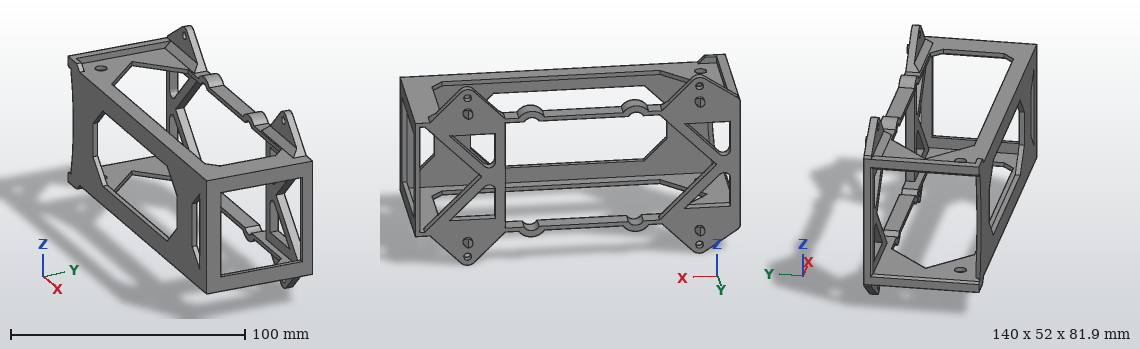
import cadquery as cq
import math

LENGTH = 140.0
DEPTH = 50.0
BOX_HEIGHT = 52.8
BOX_HALF_HEIGHT = BOX_HEIGHT / 2
FRONT_WALL = 2.2
BACK_WALL = 3.9
END_WALL = 2.0
CAVITY_HALF_HEIGHT = 24.5
BACK_INNER = DEPTH - BACK_WALL

RIM_HALF_HEIGHT = 29.3
RIM_RISE = RIM_HALF_HEIGHT - BOX_HALF_HEIGHT
RIM_LENGTH = 3.9
RIM_FRONT_LENGTH = 9.0
ENTRANCE_CHAMFER = 1.0
SCOOP_EDGE = 3.0
SCOOP_MIDDLE = 5.5
SCOOP_BEVEL = FRONT_WALL

LUG_THICKNESS = 3.2
LUG_FRONT = DEPTH - LUG_THICKNESS
LUG_HOLE_Z = 37.0
LUG_SPAN = 81.9
LUG_TIP_RADIUS = LUG_SPAN / 2 - LUG_HOLE_Z
LUG_HOLE_DIAMETER = 3.2
LUG_CENTERS = (17.5, 117.5)
LUG_CORNER = (0.8, 30.5)
PEG_DIAMETER = 4.0
PEG_HEIGHT = 2.0
PEG_Z = 30.0

BRACKET_STARTS = (0.0, 101.2)
BRACKET_POST = 4.2
BRACKET_BAR = 6.0
BRACKET_HOLE_HALF_HEIGHT = 19.7
BRACKET_HOLE_RADIUS = 2.8

FRONT_WINDOW_X = (25.3, 109.9)
FRONT_WINDOW_HALF_HEIGHT = 17.5
FRONT_WINDOW_CORNER = 9.8
SLOT_X = (125.5, 132.9)
SLOT_SHORT_HALF_HEIGHT = 10.0
SIDE_WINDOW_X = (11.0, 127.8)
SIDE_WINDOW_Y = (7.1, 43.1)
SIDE_WINDOW_CORNER = 4.9
SIDE_HOLE_DIAMETER = 5.0
SIDE_HOLE_CENTER = (11.9, 10.1)
END_WINDOW_Y = (6.7, 45.1)
END_WINDOW_HALF_HEIGHT = 19.6

ARCH_CENTERS = (45.0, 89.9)
ARCH_RADIUS = 6.7
ARCH_THICKNESS = 3.0
ARCH_Z = RIM_HALF_HEIGHT - ARCH_RADIUS


def block(x_range, y_range, half_height):
    """Box spanning the given X and Y ranges, centred on Z = 0."""
    length = x_range[1] - x_range[0]
    depth = y_range[1] - y_range[0]
    corner = (x_range[0], y_range[0], -half_height)
    return cq.Workplane("XY").box(length, depth, 2 * half_height, centered=False).translate(corner)


def facing(y):
    """XZ sketch plane at the given Y; negative extrusions run toward +Y."""
    return cq.Workplane("XZ", origin=(0, y, 0))


def both_sides(shape):
    """A shape together with its mirror image below Z = 0."""
    return shape.union(shape.mirror("XY"))


def make_rim():
    rim = block((0, RIM_LENGTH), (0, DEPTH), RIM_HALF_HEIGHT)
    front_end = RIM_FRONT_LENGTH + RIM_RISE
    front_strip = (
        facing(0)
        .polyline([
            (0, 0),
            (0, RIM_HALF_HEIGHT),
            (RIM_FRONT_LENGTH, RIM_HALF_HEIGHT),
            (front_end, BOX_HALF_HEIGHT),
            (front_end, 0),
        ])
        .close()
        .extrude(-FRONT_WALL)
    )
    return rim.union(both_sides(front_strip))


def make_lug(x, reaches_rim):
    """Rounded lug with 45 degree flanks; one kind leans down to the rim corner instead."""
    flank = LUG_TIP_RADIUS * math.sqrt(0.5)
    half_base = LUG_HOLE_Z - CAVITY_HALF_HEIGHT + LUG_TIP_RADIUS * math.sqrt(2)
    left_tangent = (x - flank, LUG_HOLE_Z + flank)
    left_base = [(x - half_base, CAVITY_HALF_HEIGHT)]
    if reaches_rim:
        run = x - LUG_CORNER[0]
        rise = LUG_HOLE_Z - LUG_CORNER[1]
        angle = math.atan2(rise, run) + math.asin(LUG_TIP_RADIUS / math.hypot(run, rise))
        left_tangent = (x - LUG_TIP_RADIUS * math.sin(angle), LUG_HOLE_Z + LUG_TIP_RADIUS * math.cos(angle))
        left_base = [(0, CAVITY_HALF_HEIGHT), (0, RIM_HALF_HEIGHT), LUG_CORNER]
    outline = (
        facing(LUG_FRONT)
        .polyline(left_base + [left_tangent])
        .threePointArc((x, LUG_HOLE_Z + LUG_TIP_RADIUS), (x + flank, LUG_HOLE_Z + flank))
        .lineTo(x + half_base, CAVITY_HALF_HEIGHT)
        .close()
        .extrude(-LUG_THICKNESS)
    )
    hole = facing(LUG_FRONT).center(x, LUG_HOLE_Z).circle(LUG_HOLE_DIAMETER / 2).extrude(-LUG_THICKNESS)
    return outline.cut(hole)


def make_gusset(x, reaches_rim):
    """Sloping wedge that backs a lug, with 45 degree ends matching its flanks."""
    half_base = LUG_HOLE_Z - BOX_HALF_HEIGHT + LUG_TIP_RADIUS * math.sqrt(2)
    start = 0 if reaches_rim else x - half_base
    end = x + half_base
    wedge = (
        cq.Workplane("YZ", origin=(start, 0, 0))
        .polyline([
            (LUG_FRONT - RIM_RISE, BOX_HALF_HEIGHT),
            (LUG_FRONT, RIM_HALF_HEIGHT),
            (LUG_FRONT, BOX_HALF_HEIGHT),
        ])
        .close()
        .extrude(end - start)
    )
    top_start = start if reaches_rim else start + RIM_RISE
    flank_limit = (
        facing(0)
        .polyline([
            (start, BOX_HALF_HEIGHT),
            (top_start, RIM_HALF_HEIGHT),
            (end - RIM_RISE, RIM_HALF_HEIGHT),
            (end, BOX_HALF_HEIGHT),
        ])
        .close()
        .extrude(-DEPTH)
    )
    return wedge.intersect(flank_limit)


def make_peg(x):
    """Locating peg on the back of a lug, sloped off on its +X half."""
    radius = PEG_DIAMETER / 2
    peg = facing(DEPTH).center(x, PEG_Z).circle(radius).extrude(-PEG_HEIGHT)
    slope = (
        cq.Workplane("XY", origin=(0, 0, PEG_Z - radius))
        .polyline([
            (x, DEPTH + PEG_HEIGHT),
            (x + radius, DEPTH + PEG_HEIGHT),
            (x + radius, DEPTH),
        ])
        .close()
        .extrude(PEG_DIAMETER)
    )
    return peg.cut(slope)


def arch_cylinder(x, radius):
    y_start = SIDE_WINDOW_Y[1]
    return facing(y_start).center(x, ARCH_Z).circle(radius).extrude(y_start - DEPTH)


def make_back_opening():
    """Everything open in the back: the clear area between brackets and the bracket triangles."""
    opening = block((0, LENGTH - END_WALL), (BACK_INNER, DEPTH), CAVITY_HALF_HEIGHT)
    for start in BRACKET_STARTS:
        post_edge = start + BRACKET_POST
        apex = post_edge + BRACKET_BAR
        half = CAVITY_HALF_HEIGHT
        bracket = (
            facing(BACK_INNER)
            .polyline([(start, -half), (apex + half, -half), (apex, 0), (apex + half, half), (start, half)])
            .close()
            .extrude(-BACK_WALL)
        )
        triangle = (
            facing(BACK_INNER)
            .polyline([
                (post_edge, 0),
                (post_edge, BRACKET_HOLE_HALF_HEIGHT),
                (post_edge + BRACKET_HOLE_HALF_HEIGHT, BRACKET_HOLE_HALF_HEIGHT),
            ])
            .close()
            .extrude(-BACK_WALL)
        )
        triangle = triangle.edges("|Y").edges("<Z").fillet(BRACKET_HOLE_RADIUS)
        opening = opening.cut(bracket.cut(both_sides(triangle)))
    return opening


def scoop_outline(plane, shift):
    """Entrance outline with a curved inner end, moved along X by the given shift."""
    edge = SCOOP_EDGE + shift
    return (
        plane
        .moveTo(0, -CAVITY_HALF_HEIGHT)
        .lineTo(edge, -CAVITY_HALF_HEIGHT)
        .threePointArc((SCOOP_MIDDLE + shift, 0), (edge, CAVITY_HALF_HEIGHT))
        .lineTo(0, CAVITY_HALF_HEIGHT)
        .close()
    )


def make_entrance_cut():
    """Chamfer around the cavity mouth and the bevelled scoop in the front wall."""
    mouth_half = CAVITY_HALF_HEIGHT + ENTRANCE_CHAMFER
    mouth_back = BACK_INNER + ENTRANCE_CHAMFER
    mouth = (
        cq.Workplane("YZ")
        .center(mouth_back / 2, 0)
        .rect(mouth_back, 2 * mouth_half)
        .workplane(offset=ENTRANCE_CHAMFER)
        .center(-ENTRANCE_CHAMFER / 2, 0)
        .rect(BACK_INNER, 2 * CAVITY_HALF_HEIGHT)
        .loft(ruled=True)
    )
    scoop = scoop_outline(facing(0), 0).workplane(offset=-FRONT_WALL)
    scoop = scoop_outline(scoop, SCOOP_BEVEL).loft(ruled=True)
    return mouth.union(scoop)


def make_front_windows():
    half = FRONT_WINDOW_HALF_HEIGHT
    window = (
        block(FRONT_WINDOW_X, (0, FRONT_WALL), half)
        .edges("|Y")
        .chamfer(FRONT_WINDOW_CORNER)
    )
    s0, s1 = SLOT_X
    short = SLOT_SHORT_HALF_HEIGHT
    slot = (
        facing(0)
        .polyline([(s0, -short), (s1, -half), (s1, half), (s0, short)])
        .close()
        .extrude(-FRONT_WALL)
    )
    return window.union(slot)


def make_side_cuts():
    """Pointed window and round hole, through both sides."""
    x0, x1 = SIDE_WINDOW_X
    y0, y1 = SIDE_WINDOW_Y
    point = (y1 - y0) / 2
    corner = SIDE_WINDOW_CORNER
    base = cq.Workplane("XY", origin=(0, 0, -RIM_HALF_HEIGHT))
    window = (
        base.polyline([
            (x0, y0 + point),
            (x0 + point, y0),
            (x1 - corner, y0),
            (x1, y0 + corner),
            (x1, y1 - corner),
            (x1 - corner, y1),
            (x0 + point, y1),
        ])
        .close()
        .extrude(2 * RIM_HALF_HEIGHT)
    )
    hole = base.center(*SIDE_HOLE_CENTER).circle(SIDE_HOLE_DIAMETER / 2).extrude(2 * RIM_HALF_HEIGHT)
    return window.union(hole)


body = block((0, LENGTH), (0, DEPTH), BOX_HALF_HEIGHT).union(make_rim())
for arch_x in ARCH_CENTERS:
    body = body.union(both_sides(arch_cylinder(arch_x, ARCH_RADIUS)))
for lug_x in LUG_CENTERS:
    at_rim = lug_x == LUG_CENTERS[0]
    lug = make_lug(lug_x, at_rim).union(make_gusset(lug_x, at_rim)).union(make_peg(lug_x))
    body = body.union(both_sides(lug))

body = body.cut(block((0, LENGTH - END_WALL), (FRONT_WALL, BACK_INNER), CAVITY_HALF_HEIGHT))
body = body.cut(make_back_opening())
body = body.cut(make_entrance_cut())
body = body.cut(make_front_windows())
body = body.cut(make_side_cuts())
body = body.cut(block((LENGTH - END_WALL, LENGTH), END_WINDOW_Y, END_WINDOW_HALF_HEIGHT))
for arch_x in ARCH_CENTERS:
    body = body.cut(both_sides(arch_cylinder(arch_x, ARCH_RADIUS - ARCH_THICKNESS)))

result = body